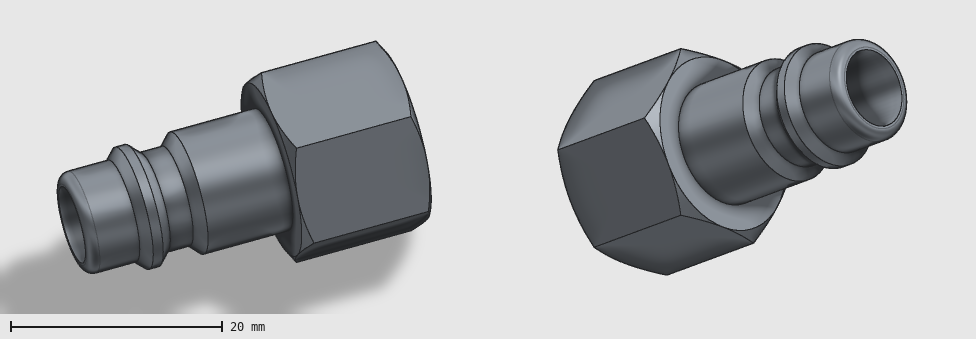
import cadquery as cq
import math

across_flats = 17.0
across_corners = across_flats / math.cos(math.radians(30))
hex_length = 13.0
hex_chamfer_angle = 30.0

body_diameter = 12.0
groove_diameter = 9.8
tip_diameter = 10.0
bore_diameter = 7.5

tip_round = 1.0
collar_cone_start = 5.0
collar_start = collar_cone_start + (body_diameter - tip_diameter) / 2
collar_width = 1.0
collar_end = collar_start + collar_width
groove_cone_length = (body_diameter - groove_diameter) / 2
groove_start = collar_end + groove_cone_length
body_start = 11.5
groove_end = body_start - groove_cone_length
shoulder = 20.0
total_length = shoulder + hex_length


def revolve_about_y(profile):
    """Close a profile of (radius, y) points and turn it around the Y axis."""
    return profile.close().revolve(360, (0, 0, 0), (0, 1, 0))


def make_hex():
    """Hexagonal prism with its corners chamfered at both ends."""
    prism = (
        cq.Workplane("XZ", origin=(0, total_length, 0))
        .polygon(6, across_corners)
        .extrude(hex_length)
    )
    face_radius = across_flats / 2
    corner_radius = across_corners / 2
    chamfer_length = (corner_radius - face_radius) * math.tan(math.radians(hex_chamfer_angle))
    envelope = revolve_about_y(
        cq.Workplane("XY")
        .moveTo(0, shoulder)
        .lineTo(face_radius, shoulder)
        .lineTo(corner_radius, shoulder + chamfer_length)
        .lineTo(corner_radius, total_length - chamfer_length)
        .lineTo(face_radius, total_length)
        .lineTo(0, total_length)
    )
    return prism.intersect(envelope)


def make_plug():
    """Turned plug with a rounded tip, a locking collar and a groove."""
    tip_radius = tip_diameter / 2
    body_radius = body_diameter / 2
    groove_radius = groove_diameter / 2
    return revolve_about_y(
        cq.Workplane("XY")
        .moveTo(0, 0)
        .lineTo(tip_radius - tip_round, 0)
        .radiusArc((tip_radius, tip_round), -tip_round)
        .lineTo(tip_radius, collar_cone_start)
        .lineTo(body_radius, collar_start)
        .lineTo(body_radius, collar_end)
        .lineTo(groove_radius, groove_start)
        .lineTo(groove_radius, groove_end)
        .lineTo(body_radius, body_start)
        .lineTo(body_radius, shoulder)
        .lineTo(0, shoulder)
    )


def make_bore():
    """Plain bore through the whole part."""
    return cq.Workplane("XZ", origin=(0, total_length, 0)).circle(bore_diameter / 2).extrude(total_length)


result = make_hex().union(make_plug()).cut(make_bore())